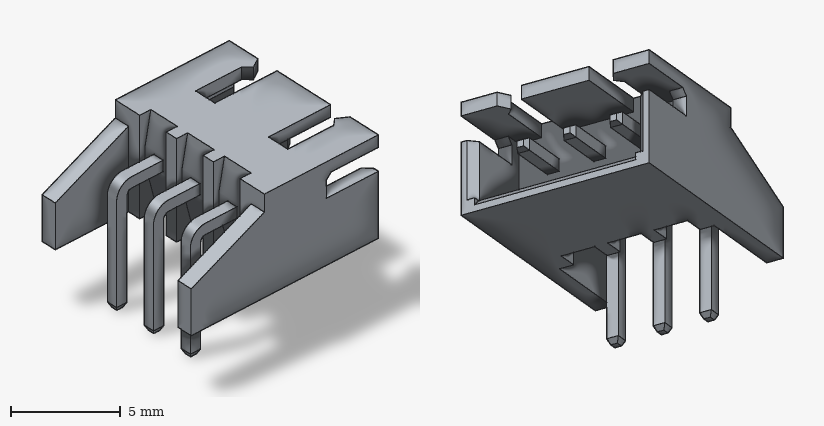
import cadquery as cq


width = 10.1
length = 11.5
height = 5.75
body_depth = 7.0
leg_thickness = 0.9
leg_top_drop = 1.0
leg_end_height = 2.6

roof_thickness = 0.7
floor_thickness = 0.7
wall_thickness = 0.72
cavity_depth = 3.82
wall_bevel_size = 0.4
floor_bevel_size = 0.36

notch_depth = 3.2
notch_height = 1.32
notch_chamfer = 0.31

slot_width = 1.3
slot_spacing = 4.93
slot_depth = 3.82
barb_reach = 0.37
barb_tip_depth = 0.61
barb_root_depth = 1.0

pocket_width = 1.79
pocket_top_depth = 0.68
pocket_bottom_depth = 1.07
pocket_depth = 0.33
pocket_upper_drop = 1.84
pocket_lower_drop = 2.86

pin_count = 3
pin_pitch = 2.5
pin_size = 0.63
pin_top_drop = 2.02
pin_reach = 3.4
pin_tip_inset = 1.0
pin_front_depth = 9.52
bend_inner_radius = 0.31
tip_length = 0.29
tip_taper = 0.14

mouth_y = length
rear_y = mouth_y - body_depth
roof_z = height - roof_thickness
pin_top_z = height - pin_top_drop
pin_axis_z = pin_top_z - pin_size / 2
pin_leg_y = mouth_y - pin_front_depth + pin_size / 2
pin_tip_y = mouth_y - pin_tip_inset
pin_places = [(i - (pin_count - 1) / 2) * pin_pitch for i in range(pin_count)]


def side_prism(points, x_start, x_size):
    """Extrude a (Y, Z) outline along +X."""
    return cq.Workplane("YZ").workplane(offset=x_start).polyline(points).close().extrude(x_size)


def body_block():
    """Plain block behind the mouth, up to the rear face."""
    block = cq.Workplane("XY").box(width, body_depth, height, centered=(True, False, False))
    return block.translate((0, rear_y, 0))


def side_leg(x_start):
    """Sloped leg that extends one side of the block past the rear face."""
    outline = [
        (0, 0),
        (rear_y, 0),
        (rear_y, height - leg_top_drop),
        (0, leg_end_height),
    ]
    return side_prism(outline, x_start, leg_thickness)


def cavity():
    """Mating cavity, with the floor and side wall edges bevelled at the mouth."""
    inner_width = width - 2 * wall_thickness
    inner_height = roof_z - floor_thickness
    half_inner = inner_width / 2
    half_mouth = half_inner + wall_bevel_size
    wall_bevel_y = mouth_y - wall_bevel_size
    end_y = mouth_y - cavity_depth
    room_outline = [
        (-half_inner, end_y),
        (half_inner, end_y),
        (half_inner, wall_bevel_y),
        (half_mouth, mouth_y),
        (-half_mouth, mouth_y),
        (-half_inner, wall_bevel_y),
    ]
    floor_plane = cq.Workplane("XY").workplane(offset=floor_thickness)
    room = floor_plane.polyline(room_outline).close().extrude(inner_height)
    floor_bevel_outline = [
        (mouth_y - floor_bevel_size, floor_thickness),
        (mouth_y, floor_thickness),
        (mouth_y, floor_thickness - floor_bevel_size),
    ]
    floor_bevel = side_prism(floor_bevel_outline, -half_inner, inner_width)
    return room.union(floor_bevel)


def side_notches():
    """Notch open to the mouth, passing through both side walls just below the roof."""
    end_y = mouth_y - notch_depth
    outline = [
        (mouth_y, roof_z),
        (end_y + notch_chamfer, roof_z),
        (end_y, roof_z - notch_chamfer),
        (end_y, roof_z - notch_height),
        (mouth_y, roof_z - notch_height),
    ]
    return side_prism(outline, -width / 2, width)


def latch_slot(side):
    """Slot through the roof, with a barb on its outer edge. Side is -1 or +1."""
    inner_x = side * (slot_spacing - slot_width) / 2
    outer_x = side * (slot_spacing + slot_width) / 2
    outline = [
        (inner_x, mouth_y),
        (outer_x, mouth_y),
        (outer_x - side * barb_reach, mouth_y - barb_tip_depth),
        (outer_x, mouth_y - barb_root_depth),
        (outer_x, mouth_y - slot_depth),
        (inner_x, mouth_y - slot_depth),
    ]
    return cq.Workplane("XY").workplane(offset=roof_z).polyline(outline).close().extrude(roof_thickness)


def rear_pocket(x):
    """Full-height recess in the rear face that deepens toward its top and bottom ends."""
    outline = [
        (rear_y, 0),
        (rear_y + pocket_bottom_depth, 0),
        (rear_y + pocket_depth, height - pocket_lower_drop),
        (rear_y + pocket_depth, height - pocket_upper_drop),
        (rear_y + pocket_top_depth, height),
        (rear_y, height),
    ]
    return side_prism(outline, x - pocket_width / 2, pocket_width)


def tapered_tip(plane):
    """Pyramid-shaped end that grows along the plane normal."""
    end_size = pin_size - 2 * tip_taper
    return (
        cq.Workplane(plane)
        .rect(pin_size, pin_size)
        .workplane(offset=tip_length)
        .rect(end_size, end_size)
        .loft(combine=True)
    )


def make_pin(x):
    """Square pin: a run along Y, a rounded bend and a leg going down, tapered at both ends."""
    bend_radius = bend_inner_radius + pin_size / 2
    run_end_y = pin_tip_y - tip_length
    leg_end_z = tip_length - pin_reach
    path = (
        cq.Workplane("YZ", origin=(x, 0, 0))
        .moveTo(run_end_y, pin_axis_z)
        .lineTo(pin_leg_y + bend_radius, pin_axis_z)
        .radiusArc((pin_leg_y, pin_axis_z - bend_radius), -bend_radius)
        .lineTo(pin_leg_y, leg_end_z)
    )
    section_plane = cq.Plane(origin=(x, run_end_y, pin_axis_z), xDir=(1, 0, 0), normal=(0, 1, 0))
    leg_plane = cq.Plane(origin=(x, pin_leg_y, leg_end_z), xDir=(1, 0, 0), normal=(0, 0, -1))
    shaft = cq.Workplane(section_plane).rect(pin_size, pin_size).sweep(path)
    return shaft.union(tapered_tip(section_plane)).union(tapered_tip(leg_plane))


def make_housing(pins):
    """Block with side legs, opened up and bored so that each pin sits in a matching hole."""
    housing = body_block()
    for x_start in (-width / 2, width / 2 - leg_thickness):
        housing = housing.union(side_leg(x_start))
    housing = housing.cut(cavity()).cut(side_notches())
    for side in (-1, 1):
        housing = housing.cut(latch_slot(side))
    for x in pin_places:
        housing = housing.cut(rear_pocket(x))
    for pin in pins:
        housing = housing.cut(pin)
    return housing


pins = [make_pin(x) for x in pin_places]
housing = make_housing(pins)

result = cq.Compound.makeCompound([housing.val(), *[pin.val() for pin in pins]])